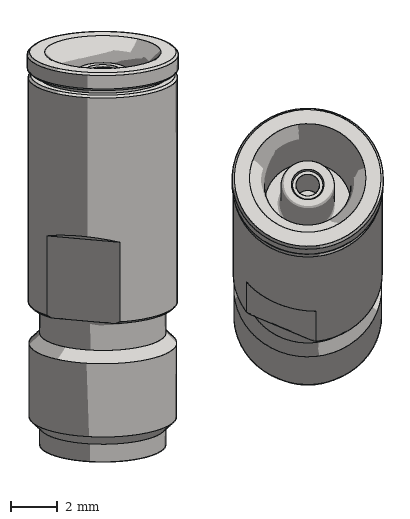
import cadquery as cq
import math

TOTAL_HEIGHT = 17.56
EDGE_CHAMFER = 0.1

NECK_RADIUS = 2.72
NUT_RADIUS = 3.18
NUT_CONE_HEIGHT = NUT_RADIUS - NECK_RADIUS
TAIL_HEIGHT = 0.8
NUT_TOP = 5.0
NECK_FILLET = 0.2

SLEEVE_RADIUS = 3.21
SLEEVE_BOTTOM = 6.3
FLAT_DISTANCE = 2.76
FLAT_TOP = 9.96
FLAT_RUNOUT_ANGLE = 30.0

FLANGE_RADIUS = 3.25
FLANGE_HEIGHT = 0.8
GROOVE_RADIUS = 2.8
GROOVE_WIDTH = 0.22
FLANGE_BOTTOM = TOTAL_HEIGHT - FLANGE_HEIGHT
SLEEVE_TOP = FLANGE_BOTTOM - GROOVE_WIDTH

SOCKET_MOUTH_RADIUS = 2.5
SOCKET_RADIUS = 1.85
SOCKET_DEPTH = 3.0
MOUTH_CONE_DEPTH = 0.5
MOUTH_ROUND_DEPTH = 0.5
SOCKET_FLOOR = TOTAL_HEIGHT - SOCKET_DEPTH

POST_RADIUS = 1.15
POST_SETBACK = 0.77
POST_TOP = TOTAL_HEIGHT - POST_SETBACK
POST_FILLET = 0.19
CONTACT_RADIUS = 0.65
CONTACT_MOUTH_RADIUS = 0.7
CONTACT_RECESS = 0.08
CONTACT_HOLE_RADIUS = 0.5
CONTACT_HOLE_DEPTH = 2.0


def revolve_about_z(profile):
    return profile.revolve(360, (0, 0), (0, 1))


def cylinder(radius, bottom, top):
    return cq.Workplane("XY").workplane(offset=bottom).circle(radius).extrude(top - bottom)


def cone(bottom_radius, top_radius, bottom, top):
    return cq.Workplane("XY").add(
        cq.Solid.makeCone(bottom_radius, top_radius, top - bottom, pnt=cq.Vector(0, 0, bottom))
    )


def make_nut():
    """Nut body with a 45-degree cone at each end, down to the neck radius."""
    outline = [
        (0, TAIL_HEIGHT),
        (NECK_RADIUS, TAIL_HEIGHT),
        (NUT_RADIUS, TAIL_HEIGHT + NUT_CONE_HEIGHT),
        (NUT_RADIUS, NUT_TOP - NUT_CONE_HEIGHT),
        (NECK_RADIUS, NUT_TOP),
        (0, NUT_TOP),
    ]
    return revolve_about_z(cq.Workplane("XZ").polyline(outline).close())


def make_flat_cutter():
    """Material removed at the -Y flat; its top runs out as a sloped face."""
    outer = 2 * SLEEVE_RADIUS
    runout = (outer - FLAT_DISTANCE) * math.tan(math.radians(FLAT_RUNOUT_ANGLE))
    outline = [
        (-FLAT_DISTANCE, SLEEVE_BOTTOM),
        (-outer, SLEEVE_BOTTOM),
        (-outer, FLAT_TOP + runout),
        (-FLAT_DISTANCE, FLAT_TOP),
    ]
    return cq.Workplane("YZ").polyline(outline).close().extrude(SLEEVE_RADIUS, both=True)


def make_sleeve():
    sleeve = cylinder(SLEEVE_RADIUS, SLEEVE_BOTTOM, SLEEVE_TOP).edges().chamfer(EDGE_CHAMFER)
    flat_cutter = make_flat_cutter()
    return sleeve.cut(flat_cutter).cut(flat_cutter.mirror("XZ"))


def make_neck_and_sleeve():
    """Sleeve on its neck; the fillet between them narrows where the flats come close."""
    body = cylinder(NECK_RADIUS, 0, SLEEVE_BOTTOM).union(make_sleeve())
    neck_face = body.faces(cq.selectors.NearestToPointSelector((NECK_RADIUS, 0, SLEEVE_BOTTOM / 2)))
    corner = neck_face.edges(">Z")
    return corner.fillet(NECK_FILLET)


def make_outside():
    flange = cylinder(FLANGE_RADIUS, FLANGE_BOTTOM, TOTAL_HEIGHT).edges().chamfer(EDGE_CHAMFER)
    return (
        make_neck_and_sleeve()
        .union(make_nut())
        .union(cylinder(GROOVE_RADIUS, SLEEVE_TOP, FLANGE_BOTTOM))
        .union(flange)
    )


def make_socket():
    """Open socket volume: 45-degree mouth, then a round running tangent into the well."""
    cone_end = TOTAL_HEIGHT - MOUTH_CONE_DEPTH
    cone_end_radius = SOCKET_MOUTH_RADIUS - MOUTH_CONE_DEPTH
    profile = (
        cq.Workplane("XZ")
        .moveTo(0, SOCKET_FLOOR)
        .lineTo(SOCKET_RADIUS, SOCKET_FLOOR)
        .lineTo(SOCKET_RADIUS, cone_end - MOUTH_ROUND_DEPTH)
        .tangentArcPoint((cone_end_radius, cone_end), relative=False)
        .lineTo(SOCKET_MOUTH_RADIUS, TOTAL_HEIGHT)
        .lineTo(0, TOTAL_HEIGHT)
        .close()
    )
    return revolve_about_z(profile)


def make_post():
    """Post rounded at its top edge and blended into the socket floor."""
    low = SOCKET_FLOOR
    bulge = POST_FILLET * (1 - math.cos(math.radians(45)))
    profile = (
        cq.Workplane("XZ")
        .moveTo(0, low)
        .lineTo(POST_RADIUS + POST_FILLET, low)
        .threePointArc((POST_RADIUS + bulge, low + bulge), (POST_RADIUS, low + POST_FILLET))
        .lineTo(POST_RADIUS, POST_TOP - POST_FILLET)
        .threePointArc((POST_RADIUS - bulge, POST_TOP - bulge), (POST_RADIUS - POST_FILLET, POST_TOP))
        .lineTo(0, POST_TOP)
        .close()
    )
    return revolve_about_z(profile)


def make_contact_hole():
    """Hole in the post: a shallow chamfered recess, then the contact bore."""
    recess_floor = POST_TOP - CONTACT_RECESS
    recess = cone(CONTACT_RADIUS, CONTACT_MOUTH_RADIUS, recess_floor, POST_TOP)
    bore = cylinder(CONTACT_HOLE_RADIUS, POST_TOP - CONTACT_HOLE_DEPTH, recess_floor)
    return recess.union(bore)


result = make_outside().cut(make_socket()).union(make_post()).cut(make_contact_hole())